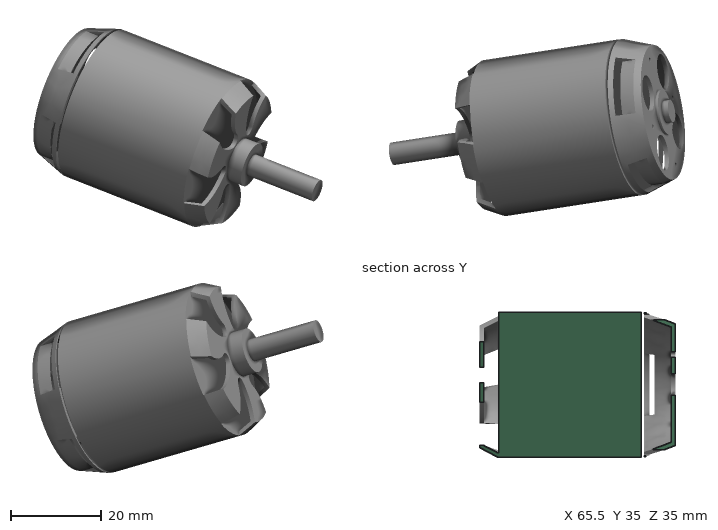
import cadquery as cq
import math


can_radius = 17.5
shaft_radius = 2.52
boss_radius = 5.05

cap_boss_start = 1.45
cap_face = 2.0
cap_end = 9.0
can_start = 9.55
window_start = 41.25
can_taper_start = 41.45
can_end = 45.45
rotor_boss_end = 49.0
shaft_end = 65.5

cap_face_radius = 15.1
cap_plate = 1.0
cap_wall = 1.05
cap_slot_inner_radius = 15.65
cap_slot_outer_radius = 17.1
cap_slot_count = 4
cap_slot_angle = 50.0
vent_radius = 4.03
vent_circle_radius = 10.0
screw_radius = 0.5
screw_circle_radii = (9.5, 12.5)

bell_end_radius = 15.6
bell_wall = 1.0
window_count = 6
window_angle = 30.0
leading_arc_radius = 9.2
leading_arc_low = 3.85
pocket_radius = 1.65
trailing_lean = 25.0


def revolve_x(points):
    """Revolve an (x, radius) outline about the X axis."""
    return cq.Workplane("XZ").polyline(points).close().revolve(360, (0, 0, 0), (1, 0, 0))


def disc(start, end, radius):
    """Cylinder on the X axis between two stations."""
    return revolve_x([(start, 0), (start, radius), (end, radius), (end, 0)])


def turned_about_axis(shape, count):
    """Copies of a shape spread evenly around the X axis."""
    step = 360 / count
    return [shape.rotate((0, 0, 0), (1, 0, 0), i * step) for i in range(count)]


def cap_slot():
    """Ring sector parallel to the axis, centred on +Z, that breaks out through the taper."""
    half = math.radians(cap_slot_angle / 2)
    outside = 2 * can_radius
    reach = outside * math.tan(half)
    wedge = (
        cq.Workplane("YZ", origin=(cap_face, 0, 0))
        .polyline([(0, 0), (reach, outside), (-reach, outside)])
        .close()
        .extrude(cap_end - cap_face)
    )
    ring = disc(cap_face, cap_end, cap_slot_outer_radius).cut(disc(cap_face, cap_end, cap_slot_inner_radius))
    return wedge.intersect(ring)


def make_cap():
    cap = revolve_x([(cap_face, 0), (cap_face, cap_face_radius), (cap_end, can_radius), (cap_end, 0)])

    taper = (can_radius - cap_face_radius) / (cap_end - cap_face)
    hollow_start = cap_face + cap_plate
    hollow_start_radius = cap_face_radius + taper * cap_plate - cap_wall
    hollow_end_radius = can_radius - cap_wall
    cap = cap.cut(
        revolve_x(
            [
                (hollow_start, 0),
                (hollow_start, hollow_start_radius),
                (cap_end, hollow_end_radius),
                (cap_end, 0),
            ]
        )
    )
    for slot in turned_about_axis(cap_slot(), cap_slot_count):
        cap = cap.cut(slot)

    vents = (
        cq.Workplane("YZ", origin=(cap_face, 0, 0))
        .polarArray(vent_circle_radius, 0, 360, 4)
        .circle(vent_radius)
        .extrude(cap_plate)
    )
    cap = cap.cut(vents)
    for radius, first_angle in zip(screw_circle_radii, (135, 45)):
        screws = (
            cq.Workplane("YZ", origin=(cap_face, 0, 0))
            .polarArray(radius, first_angle, 360, 2)
            .circle(screw_radius)
            .extrude(cap_plate)
        )
        cap = cap.cut(screws)

    cap = cap.union(disc(cap_boss_start, cap_face, boss_radius))
    return cap.union(disc(0, cap_boss_start, shaft_radius))


def on_circle(center, radius, angle):
    return (center[0] + radius * math.cos(angle), center[1] + radius * math.sin(angle))


def bell_window():
    """Swirled window: two curved sides that meet in a rounded pocket near the hub.

    The outline is worked out with u pointing outward along -Y and v along Z.
    """
    span = math.radians(window_angle)
    trailing_rim = (can_radius, 0)
    leading_rim = (can_radius * math.cos(span), can_radius * math.sin(span))
    corner = (can_radius, can_radius * math.tan(span / 2))

    rise = leading_arc_low + leading_arc_radius - leading_rim[1]
    run = math.sqrt(leading_arc_radius**2 - rise**2)
    leading_center = (leading_rim[0] - run, leading_arc_low + leading_arc_radius)
    leading_start = math.atan2(-rise, run)
    leading_mid = on_circle(leading_center, leading_arc_radius, (leading_start - math.pi / 2) / 2)
    leading_low = (leading_center[0], leading_arc_low)

    pocket_center = (leading_center[0], leading_arc_low - pocket_radius)
    lean = math.radians(trailing_lean)
    du = trailing_rim[0] - pocket_center[0]
    dv = trailing_rim[1] - pocket_center[1]
    trailing_radius = (du**2 + dv**2 - pocket_radius**2) / (
        2 * (du * math.sin(lean) - dv * math.cos(lean) - pocket_radius)
    )
    trailing_center = (
        trailing_rim[0] - trailing_radius * math.sin(lean),
        trailing_rim[1] + trailing_radius * math.cos(lean),
    )
    tangent = math.atan2(pocket_center[1] - trailing_center[1], pocket_center[0] - trailing_center[0])
    trailing_start = lean - math.pi / 2
    trailing_mid = on_circle(trailing_center, trailing_radius, (trailing_start + tangent) / 2)
    pocket_end = on_circle(pocket_center, pocket_radius, tangent)
    pocket_mid = on_circle(pocket_center, pocket_radius, (tangent - 3 * math.pi / 2) / 2)

    def yz(point):
        return (-point[0], point[1])

    return (
        cq.Workplane("YZ", origin=(window_start, 0, 0))
        .moveTo(*yz(leading_rim))
        .threePointArc(yz(leading_mid), yz(leading_low))
        .threePointArc(yz(pocket_mid), yz(pocket_end))
        .threePointArc(yz(trailing_mid), yz(trailing_rim))
        .lineTo(*yz(corner))
        .close()
        .extrude(can_end - window_start)
    )


def make_rotor():
    rotor = revolve_x(
        [
            (can_start, 0),
            (can_start, can_radius),
            (can_taper_start, can_radius),
            (can_end, bell_end_radius),
            (can_end, 0),
        ]
    )

    taper = (can_radius - bell_end_radius) / (can_end - can_taper_start)
    hollow_end = can_end - bell_wall
    hollow_start_radius = can_radius - bell_wall
    hollow_end_radius = hollow_start_radius - taper * (hollow_end - can_taper_start)
    rotor = rotor.cut(
        revolve_x(
            [
                (window_start, 0),
                (window_start, hollow_start_radius),
                (can_taper_start, hollow_start_radius),
                (hollow_end, hollow_end_radius),
                (hollow_end, 0),
            ]
        )
    )
    for window in turned_about_axis(bell_window(), window_count):
        rotor = rotor.cut(window)

    rotor = rotor.union(disc(can_end, rotor_boss_end, boss_radius))
    return rotor.union(disc(rotor_boss_end, shaft_end, shaft_radius))


cap = make_cap()
rotor = make_rotor()
result = cq.Compound.makeCompound([cap.val(), rotor.val()])